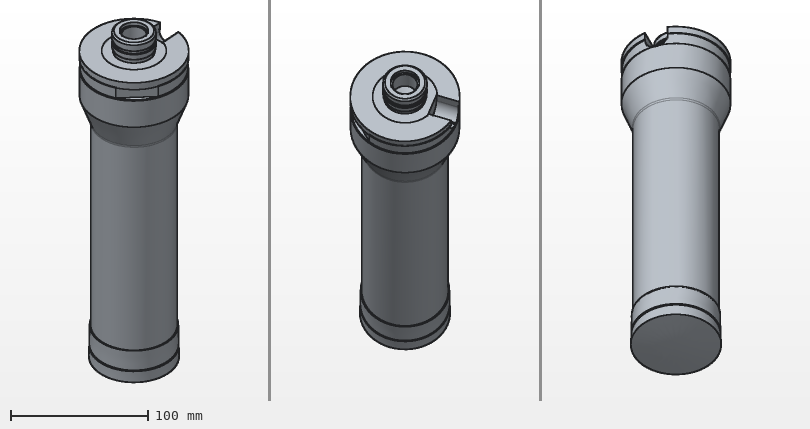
import cadquery as cq
import math

total_height = 295.0
cap_top = 277.0
ledge_height = 261.0
rim_bottom = 270.8
head_bottom = 237.0
head_cone_bottom = 214.8
shoulder_bottom = 213.0
foot_top = 30.0
foot_seam = 11.8
foot_bottom = 2.0

head_radius = 39.8
tube_radius = 31.5
shoulder_radius = 32.0
foot_top_radius = 32.5
foot_seam_radius = 32.7
foot_bottom_radius = 33.0
head_chamfer = 0.5
seam_groove_depth = 0.3
seam_groove_width = 1.0

boss_radius = 23.5
boss_flat = 21.2

neck_radius = 16.08
neck_chamfer = 1.5
neck_groove_depth = 0.5
neck_groove_width = 3.2
neck_groove_top = 288.2
neck_relief_top = 280.5

mouth_radius = 10.47
mouth_depth = 3.0
bore_radius = 9.0
bore_depth = 17.7
bore_tip_angle = 140.0

rim_radius = 39.97
cap_radius = 39.2
slot_radius = 8.8
slot_breakthrough = 0.03
wrench_flat_distance = 36.0
wrench_flat_angle = -45.0


def cylinder(radius, bottom, top):
    return cq.Workplane("XY").workplane(offset=bottom).circle(radius).extrude(top - bottom)


def make_boss():
    """Round boss with one flat facing +Y."""
    boss = cylinder(boss_radius, ledge_height, cap_top)
    size = 2 * boss_radius
    keep = cq.Workplane("XY").box(size, size, total_height, centered=(True, True, False))
    return boss.intersect(keep.translate((0, boss_flat - boss_radius, 0)))


def make_shell():
    """Turned outside of the foot, tube and head, with a shallow domed underside."""
    dome_rise = foot_bottom
    sphere_radius = (foot_bottom_radius**2 + dome_rise**2) / (2 * dome_rise)
    middle_radius = foot_bottom_radius / 2
    middle_height = sphere_radius - math.sqrt(sphere_radius**2 - middle_radius**2)
    return (
        cq.Workplane("XZ")
        .moveTo(0, 0)
        .threePointArc((middle_radius, middle_height), (foot_bottom_radius, foot_bottom))
        .lineTo(foot_seam_radius, foot_seam)
        .lineTo(foot_seam_radius - seam_groove_depth, foot_seam)
        .lineTo(foot_seam_radius - seam_groove_depth, foot_seam + seam_groove_width)
        .lineTo(foot_seam_radius, foot_seam + seam_groove_width)
        .lineTo(foot_top_radius, foot_top)
        .lineTo(tube_radius, foot_top)
        .lineTo(tube_radius, shoulder_bottom)
        .lineTo(shoulder_radius, head_cone_bottom)
        .lineTo(head_radius, head_bottom)
        .lineTo(head_radius, ledge_height - head_chamfer)
        .lineTo(head_radius - head_chamfer, ledge_height)
        .lineTo(0, ledge_height)
        .close()
        .revolve(360, (0, 0, 0), (0, 1, 0))
    )


def make_neck():
    """Chamfered neck with a groove halfway up and a relief next to the cap."""
    groove_radius = neck_radius - neck_groove_depth
    groove_bottom = neck_groove_top - neck_groove_width
    return (
        cq.Workplane("XZ")
        .moveTo(0, cap_top)
        .lineTo(groove_radius, cap_top)
        .lineTo(groove_radius, neck_relief_top - neck_groove_depth)
        .lineTo(neck_radius, neck_relief_top)
        .lineTo(neck_radius, groove_bottom)
        .lineTo(groove_radius, groove_bottom + neck_groove_depth)
        .lineTo(groove_radius, neck_groove_top - neck_groove_depth)
        .lineTo(neck_radius, neck_groove_top)
        .lineTo(neck_radius, total_height - neck_chamfer)
        .lineTo(neck_radius - neck_chamfer, total_height)
        .lineTo(0, total_height)
        .close()
        .revolve(360, (0, 0, 0), (0, 1, 0))
    )


def make_bore():
    """Wider mouth, narrower bore and conical tip."""
    tip_depth = bore_radius / math.tan(math.radians(bore_tip_angle / 2))
    mouth_floor = total_height - mouth_depth
    bore_floor = total_height - bore_depth
    return (
        cq.Workplane("XZ")
        .moveTo(0, total_height)
        .lineTo(mouth_radius, total_height)
        .lineTo(mouth_radius, mouth_floor)
        .lineTo(bore_radius, mouth_floor)
        .lineTo(bore_radius, bore_floor)
        .lineTo(0, bore_floor - tip_depth)
        .close()
        .revolve(360, (0, 0, 0), (0, 1, 0))
    )


def make_housing():
    return make_shell().union(make_boss()).union(make_neck()).cut(make_bore())


def make_slot():
    """Round-bottomed slot from the boss flat out through the +Y edge."""
    axis_height = ledge_height + slot_radius - slot_breakthrough
    length = 2 * rim_radius
    trough = cq.Workplane("XZ").center(0, axis_height).circle(slot_radius).extrude(-length)
    walls = cq.Workplane("XY").box(2 * slot_radius, length, cap_top, centered=(True, False, False))
    return trough.union(walls.translate((0, 0, axis_height))).translate((0, boss_flat, 0))


def make_wrench_flat():
    """Block that flattens the cap's side below the rim."""
    size = 2 * rim_radius
    block = cq.Workplane("XY").box(size, size, rim_bottom - ledge_height, centered=(False, True, False))
    block = block.translate((wrench_flat_distance, 0, ledge_height))
    return block.rotate((0, 0, 0), (0, 0, 1), wrench_flat_angle)


def make_cap():
    """Split ring that sits on the head's ledge and fits round the boss."""
    cap = cylinder(cap_radius, ledge_height, cap_top).union(cylinder(rim_radius, rim_bottom, cap_top))
    return cap.cut(make_boss()).cut(make_slot()).cut(make_wrench_flat())


housing = make_housing()
cap = make_cap()
result = cq.Compound.makeCompound([housing.val(), cap.val()])